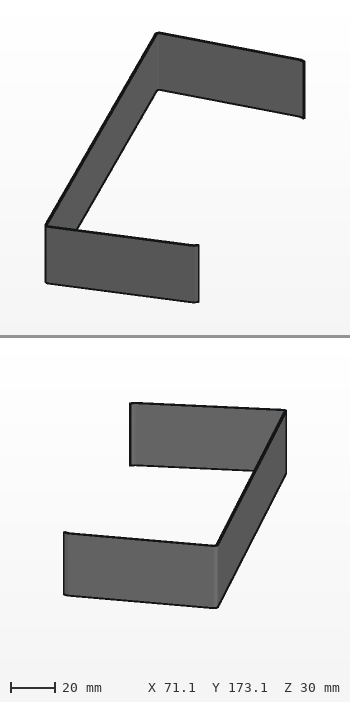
import cadquery as cq
import math

depth = 71.1
width = 173.1
height = 30.0

thickness = 0.8
corner_radius = 1.9
arm_lean = 3.0
lip_angle = 45.0
lip_radius = 4.7


def arm_side(offset):
    """Return the +Y half of the sheet face lying `offset` inside the outer face."""
    lean = math.radians(arm_lean)
    lip = math.radians(lip_angle)
    radius = corner_radius - offset
    center_x = corner_radius
    center_y = width / 2 - corner_radius

    def on_corner(angle):
        return (center_x + radius * math.cos(angle), center_y + radius * math.sin(angle))

    arm_start_angle = math.pi / 2 - lean
    start = on_corner(math.pi)
    middle = on_corner((math.pi + arm_start_angle) / 2)
    arm_start = on_corner(arm_start_angle)

    curl_radius = lip_radius - offset
    curl_center_x = depth - lip_radius * math.sin(lip)
    lip_start_x = curl_center_x + lip_radius * math.sin(lean)
    arm_run = lip_start_x - center_x - corner_radius * math.sin(lean)
    lip_start_y = center_y + corner_radius * math.cos(lean) - arm_run * math.tan(lean)
    curl_center_y = lip_start_y - lip_radius * math.cos(lean)

    def on_curl(angle):
        return (curl_center_x + curl_radius * math.sin(angle), curl_center_y + curl_radius * math.cos(angle))

    lip_start = on_curl(lean)
    lip_middle = on_curl((lean + lip) / 2)
    tip = on_curl(lip)
    return start, middle, arm_start, lip_start, lip_middle, tip


def mirrored(point):
    return (point[0], -point[1])


def strip_profile():
    """Draw the closed edge outline of the strip, symmetric about the X axis."""
    start, middle, arm_start, lip_start, lip_middle, tip = arm_side(0)
    in_start, in_middle, in_arm_start, in_lip_start, in_lip_middle, in_tip = arm_side(thickness)
    return (
        cq.Workplane("XY")
        .moveTo(*mirrored(tip))
        .threePointArc(mirrored(lip_middle), mirrored(lip_start))
        .lineTo(*mirrored(arm_start))
        .threePointArc(mirrored(middle), mirrored(start))
        .lineTo(*start)
        .threePointArc(middle, arm_start)
        .lineTo(*lip_start)
        .threePointArc(lip_middle, tip)
        .lineTo(*in_tip)
        .threePointArc(in_lip_middle, in_lip_start)
        .lineTo(*in_arm_start)
        .threePointArc(in_middle, in_start)
        .lineTo(*mirrored(in_start))
        .threePointArc(mirrored(in_middle), mirrored(in_arm_start))
        .lineTo(*mirrored(in_lip_start))
        .threePointArc(mirrored(in_lip_middle), mirrored(in_tip))
        .close()
    )


result = strip_profile().extrude(height)